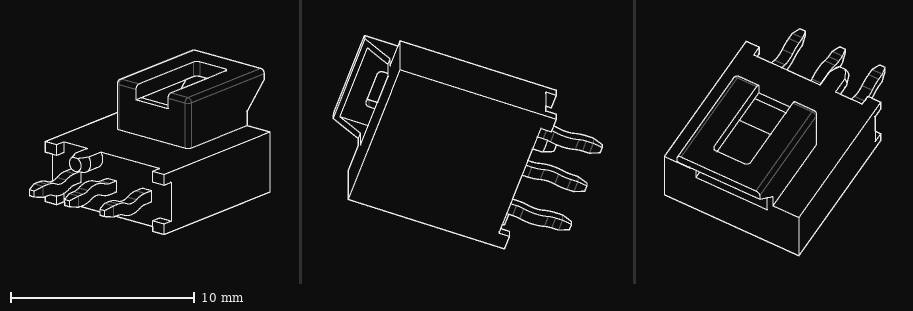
import cadquery as cq

HOUSING_WIDTH = 8.44
HOUSING_HEIGHT = 3.48
HOUSING_LENGTH = 9.05
STANDOFF_WIDTH = 0.82
STANDOFF_HEIGHT = 0.62
STANDOFF_LENGTH = 0.61

LATCH_WIDTH = 5.19
LATCH_HEIGHT = 2.86
LATCH_LENGTH = 6.46
LATCH_OVERHANG = 1.45
LATCH_LIP_HEIGHT = 0.59
LATCH_FRONT_WALL = 0.45
LATCH_SIDE_WALL = 0.36
LATCH_ROOF = 0.85
CAVITY_FLOOR_DEPTH = 0.6
LATCH_EDGE_RADIUS = 0.25
SLOT_WIDTH = 2.27
SLOT_REAR_MARGIN = 1.31
SLOT_CORNER_RADIUS = 0.25

PEG_X = -1.25
PEG_DIAMETER = 1.22
PEG_TIP_DIAMETER = 0.82
PEG_AXIS_DEPTH = 0.38
PEG_LENGTH = 1.61
PEG_TAPER_LENGTH = 0.58

PIN_PITCH = 2.5
PIN_THICKNESS = 0.65
PIN_TIP_THICKNESS = 0.35
PIN_LENGTH = 3.82
PIN_TAPER_LENGTH = 0.58
KINK_START = 0.57
KINK_HALF_SPAN = 1.135
KINK_DEPTH = 0.27
PIN_KINK_DIRECTIONS = (-1, 1, -1)

FACE_Y = STANDOFF_LENGTH
REAR_Y = HOUSING_LENGTH
LATCH_REAR_Y = REAR_Y + LATCH_OVERHANG
LATCH_FRONT_Y = LATCH_REAR_Y - LATCH_LENGTH
LATCH_TOP_Z = HOUSING_HEIGHT + LATCH_HEIGHT
ROOF_BOTTOM_Z = LATCH_TOP_Z - LATCH_ROOF
CAVITY_FRONT_Y = LATCH_FRONT_Y + LATCH_FRONT_WALL
SLOT_REAR_Y = LATCH_REAR_Y - SLOT_REAR_MARGIN
PIN_Z = HOUSING_HEIGHT / 2


def box(width, y_start, y_end, z_start, z_end):
    """Box centred on X between the given Y and Z limits."""
    return cq.Workplane("XY").box(
        width, y_end - y_start, z_end - z_start, centered=(True, False, False)
    ).translate((0, y_start, z_start))


def make_housing():
    """Block whose board-side face is recessed, leaving a standoff at each corner."""
    block = box(HOUSING_WIDTH, 0, HOUSING_LENGTH, 0, HOUSING_HEIGHT)
    tall_recess = box(HOUSING_WIDTH - 2 * STANDOFF_WIDTH, 0, FACE_Y, 0, HOUSING_HEIGHT)
    wide_recess = box(
        HOUSING_WIDTH, 0, FACE_Y, STANDOFF_HEIGHT, HOUSING_HEIGHT - STANDOFF_HEIGHT
    )
    return block.cut(tall_recess).cut(wide_recess)


def make_latch():
    """Hood with rounded edges, a slotted roof and a 45 degree rear overhang."""
    lip_bottom_z = LATCH_TOP_Z - LATCH_LIP_HEIGHT
    hood = (
        cq.Workplane("YZ")
        .moveTo(LATCH_FRONT_Y, HOUSING_HEIGHT)
        .lineTo(LATCH_FRONT_Y, LATCH_TOP_Z)
        .lineTo(LATCH_REAR_Y, LATCH_TOP_Z)
        .lineTo(LATCH_REAR_Y, lip_bottom_z)
        .lineTo(REAR_Y, lip_bottom_z - LATCH_OVERHANG)
        .lineTo(REAR_Y, HOUSING_HEIGHT)
        .close()
        .extrude(LATCH_WIDTH / 2, both=True)
    )
    front_uprights = hood.faces("<Y").edges("|Z")
    top_front = hood.faces("<Y").edges(">Z")
    top_sides = hood.faces(">Z").edges("|Y")
    hood = front_uprights.add(top_front).add(top_sides).fillet(LATCH_EDGE_RADIUS)

    slot = box(SLOT_WIDTH, LATCH_FRONT_Y, SLOT_REAR_Y, ROOF_BOTTOM_Z, LATCH_TOP_Z)
    slot = slot.faces(">Y").edges("|Z").fillet(SLOT_CORNER_RADIUS)
    return hood.cut(slot)


def make_cavity():
    """Space under the hood roof, sunk into the housing top and open at the rear."""
    width = LATCH_WIDTH - 2 * LATCH_SIDE_WALL
    floor_z = HOUSING_HEIGHT - CAVITY_FLOOR_DEPTH
    return box(width, CAVITY_FRONT_Y, LATCH_REAR_Y, floor_z, ROOF_BOTTOM_Z)


def make_peg():
    """Round peg with a conical tip, trimmed flush with the top of the housing."""
    shank_end_y = FACE_Y - PEG_LENGTH + PEG_TAPER_LENGTH
    tip_y = FACE_Y - PEG_LENGTH
    half_profile = (
        cq.Workplane("XY")
        .moveTo(0, FACE_Y)
        .lineTo(PEG_DIAMETER / 2, FACE_Y)
        .lineTo(PEG_DIAMETER / 2, shank_end_y)
        .lineTo(PEG_TIP_DIAMETER / 2, tip_y)
        .lineTo(0, tip_y)
        .close()
    )
    peg = half_profile.revolve(360, (0, 0, 0), (0, 1, 0))
    peg = peg.translate((PEG_X, 0, HOUSING_HEIGHT - PEG_AXIS_DEPTH))
    below_top = box(HOUSING_WIDTH, tip_y, FACE_Y, 0, HOUSING_HEIGHT)
    return peg.intersect(below_top)


def make_pin(x, kink_direction):
    """Square pin with a smooth S-shaped kink along Z and a tapered tip."""
    kink_start_y = FACE_Y - KINK_START
    kink_end_y = kink_start_y - 2 * KINK_HALF_SPAN
    tip_y = FACE_Y - PIN_LENGTH
    taper_start_y = tip_y + PIN_TAPER_LENGTH
    inflection_z = PIN_Z + kink_direction * KINK_DEPTH / 2
    centreline = (
        cq.Workplane("YZ", origin=(x, 0, 0))
        .moveTo(FACE_Y, PIN_Z)
        .lineTo(kink_start_y, PIN_Z)
        .tangentArcPoint((kink_start_y - KINK_HALF_SPAN / 2, inflection_z), relative=False)
        .tangentArcPoint((kink_end_y + KINK_HALF_SPAN / 2, inflection_z), relative=False)
        .tangentArcPoint((kink_end_y, PIN_Z), relative=False)
        .lineTo(taper_start_y, PIN_Z)
    )
    shank = (
        cq.Workplane("XZ", origin=(x, FACE_Y, PIN_Z))
        .rect(PIN_THICKNESS, PIN_THICKNESS)
        .sweep(centreline)
    )
    tip = (
        cq.Workplane("XZ", origin=(x, taper_start_y, PIN_Z))
        .rect(PIN_THICKNESS, PIN_THICKNESS)
        .workplane(offset=PIN_TAPER_LENGTH)
        .rect(PIN_TIP_THICKNESS, PIN_TIP_THICKNESS)
        .loft(ruled=True)
    )
    return shank.union(tip)


result = make_housing().union(make_latch()).cut(make_cavity()).union(make_peg())
for index, direction in enumerate(PIN_KINK_DIRECTIONS):
    pin_x = (index - (len(PIN_KINK_DIRECTIONS) - 1) / 2) * PIN_PITCH
    result = result.union(make_pin(pin_x, direction))